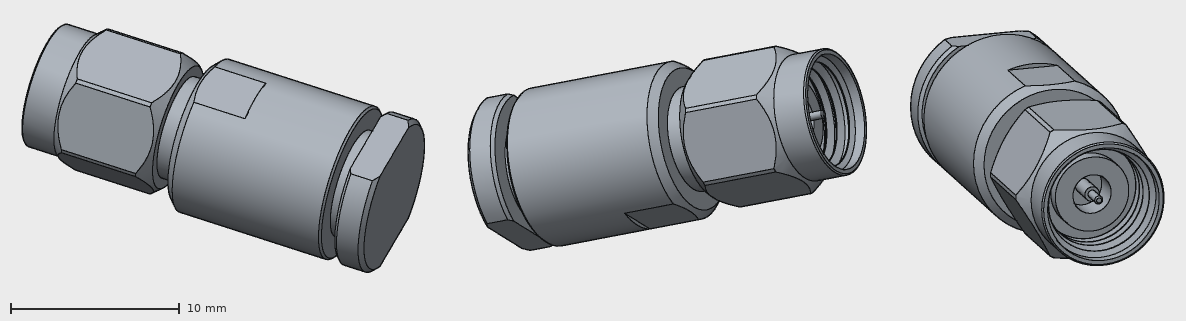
import cadquery as cq
import math


length = 22.47
hex_front = 2.11
hex_rear = 8.5
body_front = 9.68
body_rear = 19.77
rear_nut_front = 20.6

sleeve_radius = 3.82
hex_corner_radius = 4.52
front_neck_radius = 3.17
body_diameter = 9.55
body_radius = body_diameter / 2
rear_neck_radius = 3.33

sleeve_chamfer = 0.1
hex_chamfer_length = 0.79
body_front_chamfer = 0.5
body_rear_chamfer = 0.13
rear_nut_front_chamfer = 0.2
rear_nut_rear_chamfer = 0.27

hex_across_flats = 7.95
body_across_flats = 9.03
body_flat_end = 13.48
rear_nut_across_flats = 7.95

mouth_radius = 3.48
mouth_depth = 0.63
first_crest_radius = 3.15
crest_radius = 3.0
crest_width = 0.07
thread_pitch = 0.7
thread_half_angle = math.radians(30)
ridge_count = 4
socket_depth = 3.03

outer_contact_radius = 2.3
outer_contact_front = 2.15
contact_bore_radius = 1.2
contact_bore_depth = 1.8
inner_contact_radius = 0.45
pin_radius = 0.25
pin_tip = 0.8
pin_chamfer = 0.1


def cylinder(start, end, radius):
    return cq.Workplane("YZ").workplane(offset=start).circle(radius).extrude(end - start)


def revolve_profile(points):
    """Revolve a closed (x, radius) outline about the X axis."""
    return cq.Workplane("XY").polyline(points).close().revolve(360, (0, 0, 0), (1, 0, 0))


def chamfered_cylinder(start, end, radius, front_chamfer, rear_chamfer):
    return revolve_profile([
        (start, 0),
        (start, radius - front_chamfer),
        (start + front_chamfer, radius),
        (end - rear_chamfer, radius),
        (end, radius - rear_chamfer),
        (end, 0),
    ])


def slab(start, end, across_flats):
    """Block whose Z faces form a pair of flats."""
    width = body_diameter
    return cq.Workplane("XY").box(end - start, width, across_flats).translate(((start + end) / 2, 0, 0))


def coupling_nut():
    sleeve = cylinder(0, hex_front, sleeve_radius).faces("<X").chamfer(sleeve_chamfer)
    across_corners = hex_across_flats / math.cos(math.pi / 6)
    prism = (
        cq.Workplane("YZ").workplane(offset=hex_front)
        .polygon(6, across_corners).extrude(hex_rear - hex_front)
    )
    corner_limit = revolve_profile([
        (hex_front, 0),
        (hex_front, sleeve_radius),
        (hex_front + hex_chamfer_length, hex_corner_radius),
        (hex_rear - hex_chamfer_length, hex_corner_radius),
        (hex_rear, sleeve_radius),
        (hex_rear, 0),
    ])
    return sleeve.union(prism.intersect(corner_limit))


def socket_cut():
    """Mouth and thread; the last ridge runs straight into the socket floor."""
    outline = [(0, 0), (0, mouth_radius)]
    for ridge in range(ridge_count):
        root = mouth_depth + ridge * thread_pitch
        radius = first_crest_radius if ridge == 0 else crest_radius
        flank_length = (mouth_radius - radius) * math.tan(thread_half_angle)
        crest_start = root + flank_length
        crest_end = crest_start + crest_width
        outline += [(root, mouth_radius), (crest_start, radius)]
        if ridge < ridge_count - 1:
            outline += [(crest_end, radius), (crest_end + flank_length, mouth_radius)]
    outline += [(socket_depth, crest_radius), (socket_depth, 0)]
    return revolve_profile(outline)


def contacts():
    """Return the outer contact tube, the bore to cut through it and the centre conductor with its pin."""
    bore_end = outer_contact_front + contact_bore_depth
    tube = cylinder(outer_contact_front, socket_depth, outer_contact_radius)
    inner = cylinder(outer_contact_front, bore_end, inner_contact_radius)
    pin = cylinder(pin_tip, bore_end, pin_radius).faces("<X").chamfer(pin_chamfer)
    return tube, cylinder(outer_contact_front, bore_end, contact_bore_radius), inner.union(pin)


def body():
    barrel = chamfered_cylinder(
        body_front, body_rear, body_radius, body_front_chamfer, body_rear_chamfer
    )
    flatted_front = barrel.intersect(slab(body_front, body_flat_end, body_across_flats))
    round_rear = barrel.intersect(cylinder(body_flat_end, body_rear, body_radius))
    return flatted_front.union(round_rear)


def rear_nut():
    disc = chamfered_cylinder(
        rear_nut_front, length, body_radius, rear_nut_front_chamfer, rear_nut_rear_chamfer
    )
    return disc.intersect(slab(rear_nut_front, length, rear_nut_across_flats))


contact_tube, contact_bore, centre_conductor = contacts()

result = (
    coupling_nut()
    .cut(socket_cut())
    .union(contact_tube)
    .cut(contact_bore)
    .union(centre_conductor)
    .union(cylinder(hex_rear, body_front, front_neck_radius))
    .union(body())
    .union(cylinder(body_rear, rear_nut_front, rear_neck_radius))
    .union(rear_nut())
)